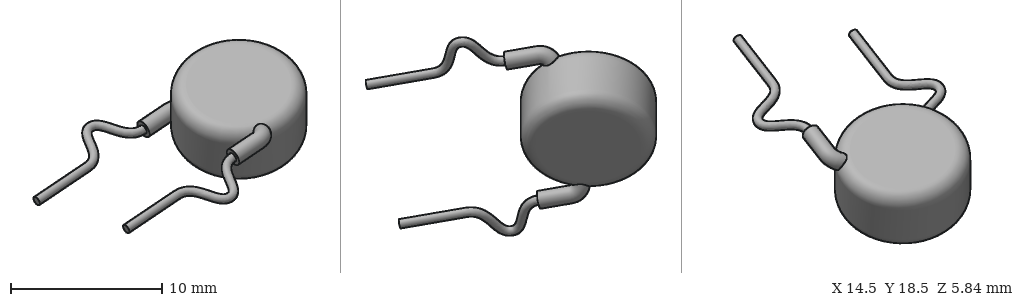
import cadquery as cq
import math

total_length = 18.5
disc_diameter = 9.0
disc_height = 5.0
disc_fillet = 1.0

collar_diameter = 1.22
collar_straight = 2.16
collar_bend_radius = 0.87
collar_bend_angle = 70.0
collar_tilt = 30.0
collar_root = 0.37

lead_diameter = 0.65
lead_span = 8.86
lead_height_gap = 4.62

kink_offset = 2.5
kink_length = 5.0
kink_end_pull = 1.65
kink_peak_pull = 1.11

disc_radius = disc_diameter / 2
lead_x = lead_span / 2
lead_z = lead_height_gap / 2
collar_face_y = -disc_radius
bend_start_y = collar_face_y + collar_straight
kink_peak_x = lead_x + kink_offset
kink_peak_y = collar_face_y - kink_length / 2
kink_end_y = collar_face_y - kink_length
tip_y = disc_radius - total_length

side_angles = (0, 180)


def turned(shape, angle):
    """Copy of a +X side shape, turned about the Y axis."""
    return shape.rotate((0, 0, 0), (0, 1, 0), angle)


def collar_face_circle(diameter):
    """Circle square to the lead, at the flat outer face of the +X collar."""
    face = cq.Plane((lead_x, collar_face_y, lead_z), xDir=(1, 0, 0), normal=(0, 1, 0))
    return cq.Workplane(face).circle(diameter / 2)


def make_disc():
    """Plain disc with both rims rounded."""
    return (
        cq.Workplane("XY", origin=(0, 0, -disc_height / 2))
        .circle(disc_radius)
        .extrude(disc_height)
        .edges()
        .fillet(disc_fillet)
    )


def make_collar():
    """Straight sleeve whose inner end bends inwards and sinks into the rounded disc edge."""
    tilt = math.radians(collar_tilt)
    turn = math.radians(collar_bend_angle)
    along = cq.Vector(0, 1, 0)
    inward = cq.Vector(-math.cos(tilt), 0, -math.sin(tilt))

    face_center = cq.Vector(lead_x, collar_face_y, lead_z)
    bend_start = cq.Vector(lead_x, bend_start_y, lead_z)
    bend_step = inward * (1 - math.cos(turn)) + along * math.sin(turn)
    bend_end = bend_start + bend_step * collar_bend_radius
    root_direction = inward * math.sin(turn) + along * math.cos(turn)
    root_end = bend_end + root_direction * collar_root

    path = cq.Wire.assembleEdges([
        cq.Edge.makeLine(face_center, bend_start),
        cq.Edge.makeTangentArc(bend_start, along, bend_end),
        cq.Edge.makeLine(bend_end, root_end),
    ])
    return collar_face_circle(collar_diameter).sweep(cq.Workplane(path))


def make_housing():
    """Disc and its two collars, moulded as one body."""
    body = make_disc()
    for angle in side_angles:
        body = body.union(turned(make_collar(), angle))
    return body


def make_lead():
    """Round wire from the +X collar face: an outward kink, then a straight tail."""
    path = (
        cq.Workplane("XY", origin=(0, 0, lead_z))
        .moveTo(lead_x, collar_face_y)
        .bezier(
            [
                (lead_x, collar_face_y - kink_end_pull),
                (kink_peak_x, kink_peak_y + kink_peak_pull),
                (kink_peak_x, kink_peak_y),
            ],
            includeCurrent=True,
        )
        .bezier(
            [
                (kink_peak_x, kink_peak_y - kink_peak_pull),
                (lead_x, kink_end_y + kink_end_pull),
                (lead_x, kink_end_y),
            ],
            includeCurrent=True,
        )
        .lineTo(lead_x, tip_y)
    )
    return collar_face_circle(lead_diameter).sweep(path)


housing = make_housing()

leads = [turned(make_lead(), angle) for angle in side_angles]
result = cq.Compound.makeCompound([housing.val(), *[lead.val() for lead in leads]])